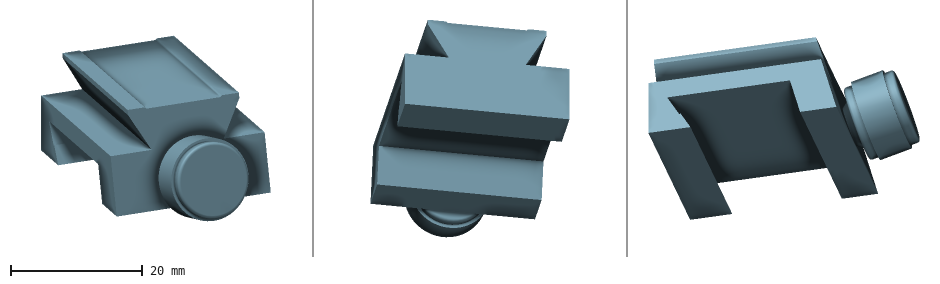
import cadquery as cq
import math

body_length = 25.4
foot_width = 29.5
body_height = 15.37
shoulder_height = 9.0
end_angle = 15.0
end_slope = math.tan(math.radians(end_angle))

slot_roof = 5.92
hook_tip_x = 6.62
far_jaw_x = 23.8
hook_angle = 30.0
hook_step_height = 2.7
hook_step = 0.213

dovetail_width = 18.35
dovetail_waist = 11.9
dovetail_angle = 30.0
recess_width = 12.65
recess_depth = 0.25

knob_height = 4.53
neck_diameter = 6.08
neck_flare = 7.9
collar_diameter = 11.7
grip_diameter = 12.7
collar_start = 1.12
grip_start = 2.65
grip_end = 7.75
knob_end = 9.3
knob_rounding = 0.45
neck_embed = 0.77


def make_side_profile():
    """Body with a sloped end and a hooked slot, extruded along Y."""
    hook_slope = math.tan(math.radians(hook_angle))
    step_x = hook_tip_x - hook_step_height * hook_slope
    step_run = hook_step * math.cos(math.radians(hook_angle))
    step_drop = hook_step * math.sin(math.radians(hook_angle))
    inner_x = step_x - step_run
    inner_z = hook_step_height - step_drop
    roof_x = inner_x - (slot_roof - inner_z) * hook_slope
    return (
        cq.Workplane("XZ")
        .polyline([
            (0, 0),
            (hook_tip_x, 0),
            (step_x, hook_step_height),
            (inner_x, inner_z),
            (roof_x, slot_roof),
            (far_jaw_x - slot_roof * end_slope, slot_roof),
            (far_jaw_x, 0),
            (foot_width, 0),
            (foot_width - body_height * end_slope, body_height),
            (0, body_height),
        ])
        .close()
        .extrude(body_length / 2, both=True)
    )


def make_end_profile():
    """Block topped by a dovetail with a shallow recess, extruded along X."""
    flare = (dovetail_width - dovetail_waist) / 2
    lip_height = shoulder_height + flare / math.tan(math.radians(dovetail_angle))
    half_outline = [
        (body_length / 2, 0),
        (body_length / 2, shoulder_height),
        (dovetail_waist / 2, shoulder_height),
        (dovetail_width / 2, lip_height),
        (dovetail_width / 2, body_height),
        (recess_width / 2, body_height),
        (recess_width / 2 - recess_depth, body_height - recess_depth),
    ]
    mirrored = [(-y, z) for y, z in reversed(half_outline)]
    return cq.Workplane("YZ").polyline(half_outline + mirrored).close().extrude(foot_width)


def make_knob():
    """Revolved knob with a flared neck and a collar on each side of the grip."""
    neck_radius = neck_diameter / 2
    collar_radius = collar_diameter / 2
    grip_radius = grip_diameter / 2
    bend = knob_rounding * (1 - math.sqrt(0.5))
    tilt = math.radians(end_angle)
    plane = cq.Plane(
        origin=(foot_width - knob_height * math.sin(tilt), 0, knob_height * math.cos(tilt)),
        xDir=(math.cos(tilt), 0, math.sin(tilt)),
        normal=(0, -1, 0),
    )
    return (
        cq.Workplane(plane)
        .moveTo(-neck_embed, 0)
        .lineTo(-neck_embed, neck_radius)
        .lineTo(0, neck_radius)
        .lineTo(collar_start, neck_flare / 2)
        .lineTo(collar_start, collar_radius - knob_rounding)
        .threePointArc(
            (collar_start + bend, collar_radius - bend),
            (collar_start + knob_rounding, collar_radius),
        )
        .lineTo(grip_start, collar_radius)
        .lineTo(grip_start, grip_radius)
        .lineTo(grip_end, grip_radius)
        .lineTo(grip_end, collar_radius)
        .lineTo(knob_end - knob_rounding, collar_radius)
        .threePointArc(
            (knob_end - bend, collar_radius - bend),
            (knob_end, collar_radius - knob_rounding),
        )
        .lineTo(knob_end, 0)
        .close()
        .revolve(360, (0, 0), (1, 0))
    )


body = make_side_profile().intersect(make_end_profile())
result = body.union(make_knob())